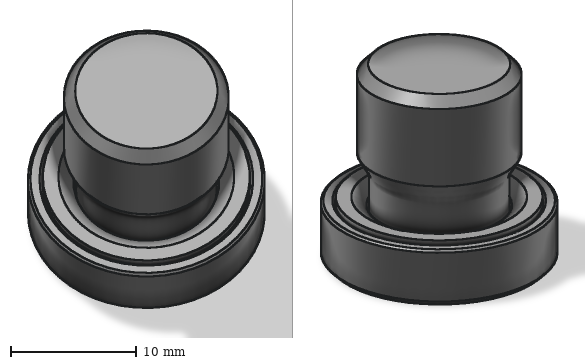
import cadquery as cq
import math

flange_diameter = 18.9
flange_height = 4.99
flange_bottom_chamfer = 0.5
flange_top_chamfer = 0.2
neck_diameter = 11.2
head_diameter = 13.15
head_bottom = 9.28
head_chamfer = 0.9
taper_angle = 30.0
neck_blend_radius = 1.13
total_height = 17.0

groove_diameter = 16.6
groove_depth = 1.51
groove_mouth_chamfer = 0.23

seal_diameter = 16.5
seal_bore = 11.6
seal_mouth_diameter = 14.02
seal_projection = 0.32
seal_dish_depth = 0.7

groove_floor = flange_height - groove_depth


def make_plug():
    """Revolved plug with a grooved flange and a tapered head underside."""
    flange_radius = flange_diameter / 2
    groove_radius = groove_diameter / 2
    neck_radius = neck_diameter / 2
    head_radius = head_diameter / 2

    taper = math.radians(taper_angle)
    corner_height = head_bottom - (head_radius - neck_radius) / math.tan(taper)
    tangent_length = neck_blend_radius * math.tan(taper / 2)
    blend_bottom = corner_height - tangent_length
    blend_center_radius = neck_radius + neck_blend_radius

    def blend_point(angle):
        return (
            blend_center_radius - neck_blend_radius * math.cos(angle),
            blend_bottom + neck_blend_radius * math.sin(angle),
        )

    return (
        cq.Workplane("XZ")
        .moveTo(0, 0)
        .lineTo(flange_radius - flange_bottom_chamfer, 0)
        .lineTo(flange_radius, flange_bottom_chamfer)
        .lineTo(flange_radius, flange_height - flange_top_chamfer)
        .lineTo(flange_radius - flange_top_chamfer, flange_height)
        .lineTo(groove_radius + groove_mouth_chamfer, flange_height)
        .lineTo(groove_radius, flange_height - groove_mouth_chamfer)
        .lineTo(groove_radius, groove_floor)
        .lineTo(neck_radius, groove_floor)
        .lineTo(neck_radius, blend_bottom)
        .threePointArc(blend_point(taper / 2), blend_point(taper))
        .lineTo(head_radius, head_bottom)
        .lineTo(head_radius, total_height - head_chamfer)
        .lineTo(head_radius - head_chamfer, total_height)
        .lineTo(0, total_height)
        .close()
        .revolve(360, (0, 0, 0), (0, 1, 0))
    )


def make_seal():
    """Flat ring resting on the groove floor, with a conical dish at its bore."""
    seal_top = flange_height + seal_projection
    return (
        cq.Workplane("XZ")
        .moveTo(seal_bore / 2, groove_floor)
        .lineTo(seal_diameter / 2, groove_floor)
        .lineTo(seal_diameter / 2, seal_top)
        .lineTo(seal_mouth_diameter / 2, seal_top)
        .lineTo(seal_bore / 2, seal_top - seal_dish_depth)
        .close()
        .revolve(360, (0, 0, 0), (0, 1, 0))
    )


plug = make_plug()
seal = make_seal()

result = cq.Compound.makeCompound([plug.val(), seal.val()])